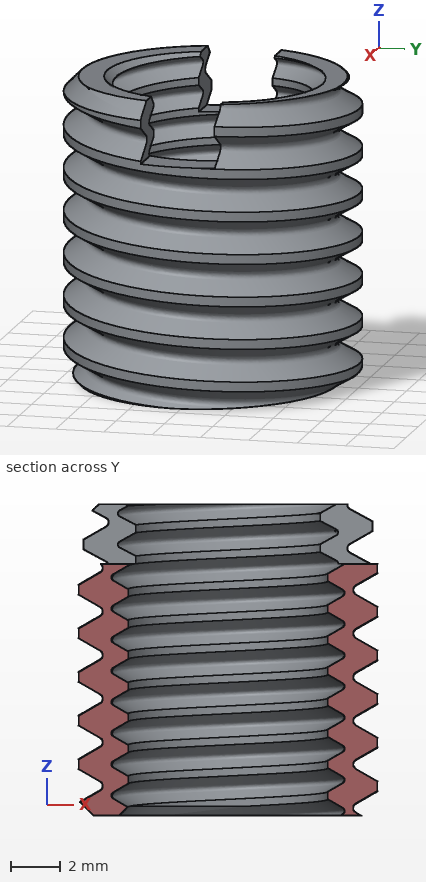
import cadquery as cq
import math

height = 12.5
outer_radius = 6.0
bore_radius = 4.0

flank_angle = 60.0

outer_pitch = 1.75
outer_crest_width = 0.4
outer_root_round = 0.2
outer_start_z = -2.31
outer_start_angle = 180.0
outer_chamfer = 0.6

inner_pitch = 1.25
inner_crest_width = 0.31
inner_root_round = 0.14
inner_start_z = -1.06
inner_start_angle = 0.0
inner_chamfer = 0.38

slot_width = 3.05
slot_depth = 2.4

overcut = 0.25


def groove_turn(pitch, mouth_radius, crest_width, root_round, outward):
    """One left-handed turn of a round-bottomed V groove, starting on the +X axis at Z = 0.

    outward is 1 when the groove opens away from the axis and -1 when it opens towards it.
    """
    half_angle = math.radians(flank_angle / 2)
    mouth_depth = (pitch - crest_width) / 2 / math.tan(half_angle)
    apex_radius = mouth_radius - outward * mouth_depth
    round_center = root_round / math.sin(half_angle)

    root_depth = round_center - root_round
    tangent_depth = round_center - root_round * math.sin(half_angle)
    cutter_depth = mouth_depth + overcut

    def flank_point(depth, side):
        return (apex_radius + outward * depth, side * depth * math.tan(half_angle))

    helix = cq.Wire.makeHelix(pitch, pitch, mouth_radius, lefthand=True)
    return (
        cq.Workplane("XZ")
        .moveTo(*flank_point(tangent_depth, -1))
        .lineTo(*flank_point(cutter_depth, -1))
        .lineTo(*flank_point(cutter_depth, 1))
        .lineTo(*flank_point(tangent_depth, 1))
        .threePointArc((apex_radius + outward * root_depth, 0), flank_point(tangent_depth, -1))
        .close()
        .sweep(cq.Workplane(obj=helix), isFrenet=True)
    )


def cut_thread(body, turn, pitch, start_z, start_angle):
    """Cut the groove turn by turn, from below the base to above the top."""
    turn = turn.rotate((0, 0, 0), (0, 0, 1), start_angle)
    turn_count = math.ceil((height + pitch / 2 - start_z) / pitch)
    for index in range(turn_count):
        body = body.cut(turn.translate((0, 0, start_z + index * pitch)), clean=False)
    return body


def sleeve():
    """Plain tube with chamfered outer and bore edges at both ends."""
    profile = [
        (bore_radius + inner_chamfer, 0),
        (outer_radius - outer_chamfer, 0),
        (outer_radius, outer_chamfer),
        (outer_radius, height - outer_chamfer),
        (outer_radius - outer_chamfer, height),
        (bore_radius + inner_chamfer, height),
        (bore_radius, height - inner_chamfer),
        (bore_radius, inner_chamfer),
    ]
    return cq.Workplane("XZ").polyline(profile).close().revolve(360, (0, 0), (0, 1))


outer_turn = groove_turn(outer_pitch, outer_radius, outer_crest_width, outer_root_round, 1)
inner_turn = groove_turn(inner_pitch, bore_radius, inner_crest_width, inner_root_round, -1)
slot = (
    cq.Workplane("XY")
    .workplane(offset=height - slot_depth)
    .rect(2 * outer_radius + overcut, slot_width)
    .extrude(slot_depth + overcut)
)

result = sleeve()
result = cut_thread(result, outer_turn, outer_pitch, outer_start_z, outer_start_angle)
result = cut_thread(result, inner_turn, inner_pitch, inner_start_z, inner_start_angle)
result = result.cut(slot)